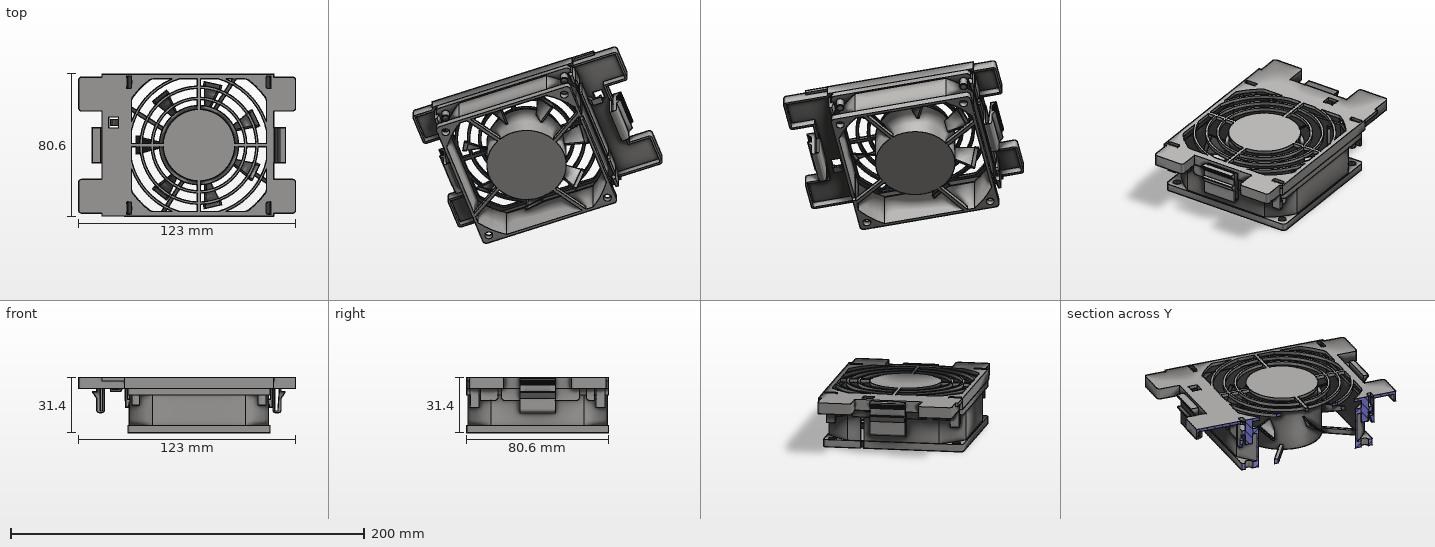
import cadquery as cq
import math


fan_size = 80.57
fan_height = 25.0
flange_corner_radius = 2.2
lower_flange_thickness = 4.2
upper_flange_thickness = 3.6
upper_flange_z = fan_height - upper_flange_thickness
hole_spacing = 71.5
hole_diameter = 4.4
wall_size = 79.0
wall_corner_diameter = 94.9
wall_thickness = 0.9

hub_radius = 22.5
hub_top_z = 24.6
strut_count = 4
strut_angle = 57.6
strut_offset = 3.2
strut_width = 2.0
strut_height = 3.0

blade_count = 7
blade_root_radius = hub_radius - 1.0
blade_tip_radius = 35.8
blade_tip_band = 2.2
blade_root_width = 3.2
blade_outer_width = 9.2
blade_tip_width = 10.2
blade_bottom_z = 12.3
blade_height = 6.8
blade_thickness = 1.0

cable_slot_width = 1.9
cable_slot_y = 17.85

cover_top_z = 31.4
cover_bottom_z = fan_height
plate_thickness = 2.0
plate_bottom_z = cover_top_z - plate_thickness
skirt_thickness = 1.2
plate_left = -55.0
plate_right = 42.45
deep_skirt_left = -42.2
tab_left = -68.2
cover_length = 123.0
tab_right = tab_left + cover_length
tab_inner_y = 19.3
tab_outer_y = 38.6
tab_corner_radius = 1.8

opening_length = 76.4
opening_width = 75.0
opening_corner_diameter = 92.4
opening_fillet = 4.0
center_disc_radius = 20.4
center_boss_radius = center_disc_radius - 0.2
ring_inner_radii = (25.8, 32.15, 39.1)
ring_width = 1.4
spoke_width = 2.0
strip_recess = 0.1

pin_bottom_z = 15.5
pin_chamfer = 0.4

hook_y = 35.65
hook_width = 5.1
hook_inner_x = 40.7
hook_thickness = 0.9
hook_nose_x = 39.05
hook_catch_z = 19.1
hook_nose_height = 1.0
hook_bottom_z = 14.4
hook_end_x = 40.1
slot_inner_x = 38.1
slot_outer_x = 40.8
slot_length = 7.0
slot_corner_radius = 1.0

guard_inner_x = 40.6
guard_outer_x = 42.0
guard_bottom_z = 18.4
guard_chamfer = 1.2
guards = (
    (-32.4, -22.5, False, True),
    (-20.5, 23.8, True, True),
    (27.6, 32.2, True, False),
)

left_clip_x = -53.55
left_clip_section = (1.3, 1.05, 1.05, 4.45)
right_clip_x = 41.9
right_clip_section = (1.16, 1.6, 2.85, 4.65)
clip_width = 20.0
clip_bottom_z = 11.4
clip_slot_bottom_z = 12.5
clip_top_z = 30.9
clip_tip_z = 23.3
clip_tip_reach = 2.2
clip_tip_thickness = 0.4
clip_hook_bottom_z = 19.6
clip_bend_radius = 1.6
grip_top_z = 30.3
grip_bottom_z = 27.2
grip_reach = 2.5
grip_steps = 9

window_left = -51.0
window_right = -45.6
window_low_y = 9.75
window_high_y = 15.9
tongue_width = 3.6
tongue_left = -50.2
tongue_bend_x = -44.3
tongue_bottom_z = 23.4
tongue_thickness = 1.3
tongue_lip_width = 1.0
tongue_lip_height = 2.4
tongue_slope = 0.55


def box(x0, x1, y0, y1, z0, z1):
    return cq.Workplane("XY").box(x1 - x0, y1 - y0, z1 - z0, centered=False).translate((x0, y0, z0))


def cylinder(radius, z0, z1):
    return cq.Workplane("XY", origin=(0, 0, z0)).circle(radius).extrude(z1 - z0)


def clipped_rectangle(length, width, diameter, z0, z1):
    """Rectangular block whose corners are cut round by a circle on the fan axis."""
    block = cq.Workplane("XY", origin=(0, 0, z0)).rect(length, width).extrude(z1 - z0)
    return block.intersect(cylinder(diameter / 2, z0, z1))


def profile_block(points, y_center, width):
    """Block with an XZ outline, centred on y_center."""
    start = cq.Workplane("XZ", origin=(0, y_center + width / 2, 0))
    return start.polyline(points).close().extrude(width)


def fan_flange(z0, thickness):
    plate = cq.Workplane("XY", origin=(0, 0, z0)).rect(fan_size, fan_size).extrude(thickness)
    plate = plate.edges("|Z").fillet(flange_corner_radius)
    spots = plate.faces(">Z").workplane(origin=(0, 0, 0))
    spots = spots.rect(hole_spacing, hole_spacing, forConstruction=True)
    return spots.vertices().hole(hole_diameter)


def strut(angle):
    bar = box(0, wall_size / math.sqrt(2), strut_offset - strut_width / 2,
              strut_offset + strut_width / 2, 0, strut_height)
    return bar.rotate((0, 0, 0), (0, 0, 1), angle)


def blade(angle):
    """Tapered blade, inclined so that its top edge leads in the clockwise direction."""
    def section(half_width):
        low = blade_bottom_z
        high = blade_bottom_z + blade_height
        return [
            (half_width - blade_thickness, low),
            (half_width, low),
            (blade_thickness - half_width, high),
            (-half_width, high),
        ]

    band_radius = blade_tip_radius - blade_tip_band
    root = cq.Workplane("YZ", origin=(blade_root_radius, 0, 0))
    root = root.polyline(section(blade_root_width / 2)).close()
    outer = root.workplane(offset=band_radius - blade_root_radius)
    body = outer.polyline(section(blade_outer_width / 2)).close().loft(ruled=True)
    tip = cq.Workplane("YZ", origin=(band_radius, 0, 0))
    tip = tip.polyline(section(blade_tip_width / 2)).close().extrude(blade_tip_band)
    return body.union(tip).rotate((0, 0, 0), (0, 0, 1), angle)


def make_fan():
    inner_size = wall_size - 2 * wall_thickness
    inner_diameter = wall_corner_diameter - 2 * wall_thickness
    bore = clipped_rectangle(inner_size, inner_size, inner_diameter, 0, fan_height)
    outside = clipped_rectangle(wall_size, wall_size, wall_corner_diameter, 0, fan_height)

    frame = outside.union(fan_flange(0, lower_flange_thickness))
    frame = frame.union(fan_flange(upper_flange_z, upper_flange_thickness)).cut(bore)
    cable_slot = box(-fan_size / 2, -inner_size / 2, cable_slot_y - cable_slot_width / 2,
                     cable_slot_y + cable_slot_width / 2, 0, upper_flange_z)
    frame = frame.cut(cable_slot)

    core = cylinder(hub_radius, 0, hub_top_z)
    for i in range(strut_count):
        core = core.union(strut(strut_angle + i * 360 / strut_count).intersect(outside))
    for i in range(blade_count):
        core = core.union(blade(180 + i * 360 / blade_count))
    return frame.union(core)


def cover_outline(inset, z0, z1):
    """Cover outline with four corner tabs, all sides moved inward by inset."""
    half_width = tab_outer_y - inset
    outline = box(plate_left + inset, plate_right - inset, -half_width, half_width, z0, z1)
    tab_width = tab_outer_y - tab_inner_y - 2 * inset
    tab_y = (tab_outer_y + tab_inner_y) / 2
    for side in (-1, 1):
        tabs = box(tab_left + inset, tab_right - inset, side * tab_y - tab_width / 2,
                   side * tab_y + tab_width / 2, z0, z1)
        outline = outline.union(tabs.edges("|Z").fillet(tab_corner_radius - inset))
    return outline


def cover_shell():
    half_width = fan_size / 2
    shell = cover_outline(0, cover_bottom_z, cover_top_z)
    strip_width = half_width - strip_recess
    shell = shell.union(box(plate_left, plate_right, -strip_width, strip_width, plate_bottom_z, cover_top_z))
    shell = shell.union(box(deep_skirt_left, -deep_skirt_left, -half_width, half_width,
                            cover_bottom_z, cover_top_z))
    shell = shell.cut(cover_outline(skirt_thickness, cover_bottom_z, plate_bottom_z))
    cavity_x = deep_skirt_left + skirt_thickness
    cavity_width = half_width - skirt_thickness
    shell = shell.cut(box(cavity_x, -cavity_x, -cavity_width, cavity_width, cover_bottom_z, plate_bottom_z))
    return shell.union(cylinder(center_boss_radius, cover_bottom_z, cover_top_z))


def grille_openings():
    """Air opening without the rings, spokes and centre disc that stay in the plate."""
    opening = clipped_rectangle(opening_length, opening_width, opening_corner_diameter,
                                plate_bottom_z, cover_top_z)
    opening = opening.edges("|Z").fillet(opening_fillet)
    for radius in ring_inner_radii:
        ring = cylinder(radius + ring_width, plate_bottom_z, cover_top_z)
        ring = ring.cut(cylinder(radius, plate_bottom_z, cover_top_z))
        opening = opening.cut(ring)
    opening = opening.cut(cylinder(center_disc_radius, plate_bottom_z, cover_top_z))

    reach = opening_length / 2
    half_spoke = spoke_width / 2
    opening = opening.cut(box(-reach, reach, -half_spoke, half_spoke, plate_bottom_z, cover_top_z))
    return opening.cut(box(-half_spoke, half_spoke, -reach, reach, plate_bottom_z, cover_top_z))


def locating_pins():
    spots = cq.Workplane("XY", origin=(0, 0, pin_bottom_z))
    spots = spots.rect(hole_spacing, hole_spacing, forConstruction=True)
    pins = spots.vertices().circle(hole_diameter / 2).extrude(plate_bottom_z - pin_bottom_z)
    return pins.faces("<Z").chamfer(pin_chamfer)


def snap_hook(side, y_center):
    """Hook that reaches under the fan's upper flange; side is -1 or 1 along X."""
    points = [
        (hook_inner_x + hook_thickness, plate_bottom_z),
        (hook_inner_x, plate_bottom_z),
        (hook_inner_x, hook_catch_z),
        (hook_nose_x, hook_catch_z),
        (hook_nose_x, hook_catch_z - hook_nose_height),
        (hook_end_x, hook_bottom_z),
        (hook_inner_x + hook_thickness, hook_bottom_z),
    ]
    return profile_block([(side * x, z) for x, z in points], y_center, hook_width)


def hook_slot(side, y_center):
    length = slot_outer_x - slot_inner_x
    slot = cq.Workplane("XY", origin=(side * (slot_inner_x + slot_outer_x) / 2, y_center, plate_bottom_z))
    slot = slot.rect(length, slot_length).extrude(plate_thickness)
    inner_face = "<X" if side > 0 else ">X"
    return slot.faces(inner_face).edges("|Z").fillet(slot_corner_radius)


def side_guard(side, low_y, high_y, chamfer_low, chamfer_high):
    x0, x1 = sorted((side * guard_inner_x, side * guard_outer_x))
    guard = box(x0, x1, low_y, high_y, guard_bottom_z, plate_bottom_z)
    if chamfer_low:
        guard = guard.faces("<Y").edges("<Z").chamfer(guard_chamfer)
    if chamfer_high:
        guard = guard.faces(">Y").edges("<Z").chamfer(guard_chamfer)
    return guard


def spring_clip(root_x, side, leg, gap_bottom, gap_top, outer):
    """U-shaped spring clip with a catch and a stepped finger grip on its free leg.

    root_x is the fixed leg's inner face and side is -1 or 1, the outward direction along X.
    """
    points = [
        (0, plate_bottom_z),
        (0, clip_bottom_z),
        (outer, clip_bottom_z),
        (outer, clip_hook_bottom_z),
        (outer + clip_tip_reach, clip_tip_z - clip_tip_thickness),
        (outer + clip_tip_reach, clip_tip_z),
        (outer, clip_tip_z),
        (outer, grip_bottom_z),
    ]
    step_height = (grip_top_z - grip_bottom_z) / grip_steps
    step_reach = grip_reach / grip_steps
    for i in range(grip_steps):
        step_x = outer + (i + 1) * step_reach
        points.append((step_x, grip_bottom_z + i * step_height))
        points.append((step_x, grip_bottom_z + (i + 1) * step_height))
    points += [
        (outer + grip_reach, clip_top_z),
        (leg + gap_top, clip_top_z),
        (leg + gap_bottom, clip_slot_bottom_z),
        (leg, clip_slot_bottom_z),
        (leg, plate_bottom_z),
    ]
    clip = profile_block([(root_x + side * x, z) for x, z in points], 0, clip_width)
    return clip.faces("<Z").edges("|Y").fillet(clip_bend_radius)


def window_tongue():
    """Bent tongue that hangs from the plate and lies under the window."""
    arm_top_x = tongue_bend_x + tongue_slope * (plate_bottom_z - tongue_bottom_z)
    upper_z = tongue_bottom_z + tongue_thickness
    points = [
        (tongue_left, tongue_bottom_z),
        (tongue_bend_x, tongue_bottom_z),
        (arm_top_x, plate_bottom_z),
        (arm_top_x - tongue_thickness, plate_bottom_z),
        (tongue_bend_x - tongue_thickness, upper_z),
        (tongue_left + tongue_lip_width, upper_z),
        (tongue_left + tongue_lip_width, tongue_bottom_z + tongue_lip_height),
        (tongue_left, tongue_bottom_z + tongue_lip_height),
    ]
    return profile_block(points, (window_low_y + window_high_y) / 2, tongue_width)


def make_cover():
    cover = cover_shell().cut(grille_openings())
    cover = cover.union(locating_pins()).union(window_tongue())
    for side in (-1, 1):
        for guard in guards:
            cover = cover.union(side_guard(side, *guard))
        for y_center in (-hook_y, hook_y):
            cover = cover.union(snap_hook(side, y_center))
            cover = cover.cut(hook_slot(side, y_center))
    cover = cover.union(spring_clip(left_clip_x, -1, *left_clip_section))
    cover = cover.union(spring_clip(right_clip_x, 1, *right_clip_section))
    return cover.cut(box(window_left, window_right, window_low_y, window_high_y, plate_bottom_z, cover_top_z))


fan = make_fan()
cover = make_cover()

result = cq.Compound.makeCompound([fan.solids().val(), cover.solids().val()])